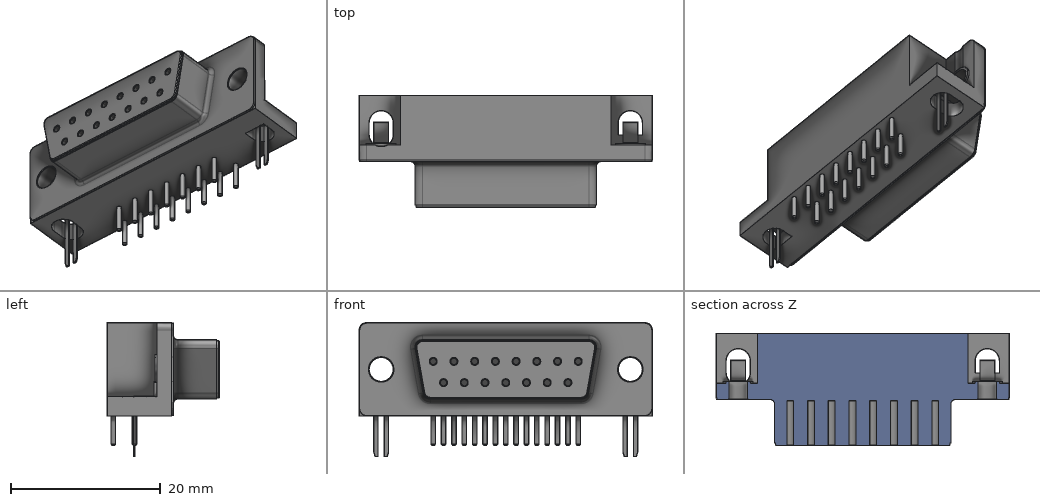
import cadquery as cq
import math


FLANGE_WIDTH = 39.2
FLANGE_HEIGHT = 12.5
FLANGE_DEPTH = 2.2
SHEET_THICKNESS = 0.25
SHEET_INSET = 0.08
FLANGE_CORNER_RADIUS = 1.0
BODY_DEPTH = 8.85
BLOCK_WIDTH = 28.2
BASE_HEIGHT = 2.6
MID_HEIGHT = FLANGE_HEIGHT / 2

MOUNT_X = 16.65
MOUNT_DIAMETER = 3.2
MOUNT_CHAMFER = 0.1

SLOT_REAR_CENTRE_Y = 5.2
SLOT_FRONT_CENTRE_Y = 3.6

SHROUD_LENGTH = 6.15
SHROUD_HEIGHT = 7.94
SHROUD_MID_WIDTH = 23.25
SHROUD_SIDE_ANGLE = 10.0
SHROUD_CORNER_RADIUS = 1.0
SHROUD_ROOT_RADIUS = 0.6

INSERT_PROTRUSION = 0.35
INSERT_INSET = 0.12
INSERT_CHAMFER = 0.12

CONTACT_PITCH = 2.77
ROW_SPACING = 2.84
UPPER_ROW_COUNT = 8
LOWER_ROW_COUNT = 7
CONTACT_MID_Z = 5.9
SOCKET_DIAMETER = 0.85
SOCKET_DEPTH = 6.0
SOCKET_CHAMFER = 0.1

PIN_DIAMETER = 0.64
PIN_LENGTH = 3.9
PIN_TIP_CHAMFER = 0.15
PIN_EMBED = 1.0
REAR_PIN_Y = BODY_DEPTH - 0.83

RING_DIAMETER = 4.0
RING_PROTRUSION = 0.25
RING_EMBED = 0.25
LOCK_WIDTH = 2.0
LOCK_THICKNESS = 0.2
LOCK_BEND_RADIUS = 0.15
LOCK_TAB_REAR_Y = FLANGE_DEPTH + 0.4
LOCK_TAB_TOP_Z = MID_HEIGHT - MOUNT_DIAMETER / 2
LOCK_FOOT_TOP_Z = BASE_HEIGHT + 0.1
LOCK_REAR_Y = 5.3
PRONG_LENGTH = 5.4
PRONG_GAP = 0.8
PRONG_TIP_HEIGHT = 0.6
PRONG_TIP_INSET = 0.18


def box(x_min, x_max, y_min, y_max, z_min, z_max):
    """Axis-aligned box given by its limits."""
    size = (x_max - x_min, y_max - y_min, z_max - z_min)
    return cq.Workplane("XY").box(*size, centered=False).translate((x_min, y_min, z_min))


def cylinder_along_y(x, z, diameter, y_min, y_max):
    """Cylinder along Y between two Y positions."""
    return (
        cq.Workplane("XZ", origin=(x, y_min, z))
        .circle(diameter / 2)
        .extrude(y_min - y_max)
    )


def make_countersink(x, y, z, hole_diameter, chamfer):
    """45 degree cone that chamfers the mouth of a hole in a face looking towards -Y."""
    mouth_radius = hole_diameter / 2 + chamfer
    cone = cq.Solid.makeCone(
        mouth_radius, hole_diameter / 2, chamfer, cq.Vector(x, y, z), cq.Vector(0, 1, 0)
    )
    return cq.Workplane(cone)


def row_positions(count):
    """X positions of a centred row of contacts."""
    return [(i - (count - 1) / 2) * CONTACT_PITCH for i in range(count)]


def make_housing():
    """Front sheet, plastic flange, rear block and low base."""
    half_width = FLANGE_WIDTH / 2
    half_block = BLOCK_WIDTH / 2
    sheet = box(
        SHEET_INSET - half_width, half_width - SHEET_INSET,
        0, SHEET_THICKNESS,
        SHEET_INSET, FLANGE_HEIGHT - SHEET_INSET,
    )
    sheet = sheet.edges("|Y").fillet(FLANGE_CORNER_RADIUS - SHEET_INSET)
    flange = box(-half_width, half_width, SHEET_THICKNESS, FLANGE_DEPTH, 0, FLANGE_HEIGHT)
    flange = flange.edges("|Y and >Z").fillet(FLANGE_CORNER_RADIUS)
    base = box(-half_width, half_width, FLANGE_DEPTH, BODY_DEPTH, 0, BASE_HEIGHT)
    block = box(-half_block, half_block, FLANGE_DEPTH, BODY_DEPTH, 0, FLANGE_HEIGHT)
    return sheet.union(flange).union(base).union(block)


def make_d_prism(inset, length):
    """D-shaped prism from the flange front towards -Y, with its sides moved in by inset."""
    angle = math.radians(SHROUD_SIDE_ANGLE)
    half_height = SHROUD_HEIGHT / 2 - inset
    mid_half = SHROUD_MID_WIDTH / 2 - inset / math.cos(angle)
    lean = half_height * math.tan(angle)
    outline = [
        (-mid_half - lean, half_height),
        (mid_half + lean, half_height),
        (mid_half - lean, -half_height),
        (-mid_half + lean, -half_height),
    ]
    prism = (
        cq.Workplane("XZ", origin=(0, 0, MID_HEIGHT))
        .polyline(outline)
        .close()
        .extrude(length)
    )
    return prism.edges("|Y").fillet(SHROUD_CORNER_RADIUS - inset)


def make_shroud():
    """Shroud and the slightly smaller, chamfered insert that fills it."""
    shell = make_d_prism(0, SHROUD_LENGTH - INSERT_PROTRUSION)
    insert = make_d_prism(INSERT_INSET, SHROUD_LENGTH)
    insert = insert.faces("<Y").edges().chamfer(INSERT_CHAMFER)
    return shell.union(insert)


def round_shroud_root(connector):
    """Concave fillet where the shroud meets the flange."""
    half_width = SHROUD_MID_WIDTH / 2 + SHROUD_CORNER_RADIUS
    half_height = SHROUD_HEIGHT / 2
    margin = 0.1
    root_zone = cq.selectors.BoxSelector(
        (-half_width, -margin, MID_HEIGHT - half_height - margin),
        (half_width, margin, MID_HEIGHT + half_height + margin),
    )
    return connector.edges(root_zone).fillet(SHROUD_ROOT_RADIUS)


def make_slots():
    """Left slot, cut through the full height, and right slot with a flat front end."""
    slots = cq.Workplane("XY")
    for x in (-MOUNT_X, MOUNT_X):
        slots = slots.union(box(
            x - MOUNT_DIAMETER / 2, x + MOUNT_DIAMETER / 2,
            SLOT_FRONT_CENTRE_Y, SLOT_REAR_CENTRE_Y, 0, FLANGE_HEIGHT,
        ))
    round_ends = [
        (-MOUNT_X, SLOT_REAR_CENTRE_Y),
        (MOUNT_X, SLOT_REAR_CENTRE_Y),
        (-MOUNT_X, SLOT_FRONT_CENTRE_Y),
    ]
    ends = (
        cq.Workplane("XY")
        .pushPoints(round_ends)
        .circle(MOUNT_DIAMETER / 2)
        .extrude(FLANGE_HEIGHT)
    )
    return slots.union(ends)


def make_sockets():
    """Blind contact holes in the front face, in two staggered rows."""
    upper_z = CONTACT_MID_Z + ROW_SPACING / 2
    lower_z = CONTACT_MID_Z - ROW_SPACING / 2
    centres = [(x, upper_z) for x in row_positions(UPPER_ROW_COUNT)]
    centres += [(x, lower_z) for x in row_positions(LOWER_ROW_COUNT)]
    sockets = (
        cq.Workplane("XZ", origin=(0, -SHROUD_LENGTH, 0))
        .pushPoints(centres)
        .circle(SOCKET_DIAMETER / 2)
        .extrude(-SOCKET_DEPTH)
    )
    for x, z in centres:
        sockets = sockets.union(make_countersink(x, -SHROUD_LENGTH, z, SOCKET_DIAMETER, SOCKET_CHAMFER))
    return sockets


def make_pins():
    """Solder pins: the longer row at the rear, the shorter one in front of it."""
    front_pin_y = REAR_PIN_Y - ROW_SPACING
    centres = [(x, REAR_PIN_Y) for x in row_positions(UPPER_ROW_COUNT)]
    centres += [(x, front_pin_y) for x in row_positions(LOWER_ROW_COUNT)]
    pins = (
        cq.Workplane("XY", origin=(0, 0, -PIN_LENGTH))
        .pushPoints(centres)
        .circle(PIN_DIAMETER / 2)
        .extrude(PIN_LENGTH + PIN_EMBED)
    )
    return pins.faces("<Z").edges().chamfer(PIN_TIP_CHAMFER)


def make_prong(side):
    """One board lock prong, on the side given by -1 or 1, tapered on its outer edge."""
    inner = side * PRONG_GAP / 2
    outer = side * LOCK_WIDTH / 2
    tip_outer = outer - side * PRONG_TIP_INSET
    outline = [
        (inner, LOCK_FOOT_TOP_Z - LOCK_THICKNESS),
        (outer, LOCK_FOOT_TOP_Z - LOCK_THICKNESS),
        (outer, PRONG_TIP_HEIGHT - PRONG_LENGTH),
        (tip_outer, -PRONG_LENGTH),
        (inner, -PRONG_LENGTH),
    ]
    return (
        cq.Workplane("XZ", origin=(0, LOCK_REAR_Y, 0))
        .polyline(outline)
        .close()
        .extrude(LOCK_THICKNESS)
    )


def make_board_lock():
    """Disc at the mounting hole, tab, foot and two prongs, centred on X = 0.

    The mounting hole is cut later and turns the disc into a ring.
    """
    half_width = LOCK_WIDTH / 2
    foot_bottom_z = LOCK_FOOT_TOP_Z - LOCK_THICKNESS
    ring_front_y = FLANGE_DEPTH - RING_EMBED
    ring_rear_y = FLANGE_DEPTH + RING_PROTRUSION
    ring = cylinder_along_y(0, MID_HEIGHT, RING_DIAMETER, ring_front_y, ring_rear_y)
    tab = box(-half_width, half_width, ring_front_y, LOCK_TAB_REAR_Y, foot_bottom_z, LOCK_TAB_TOP_Z)
    foot = box(-half_width, half_width, FLANGE_DEPTH, LOCK_REAR_Y, foot_bottom_z, LOCK_FOOT_TOP_Z)
    foot = foot.edges(">Y and >Z").fillet(LOCK_BEND_RADIUS)
    lock = ring.union(tab).union(foot)
    for side in (-1, 1):
        lock = lock.union(make_prong(side))
    return lock


connector = round_shroud_root(make_housing().union(make_shroud()))
connector = connector.cut(make_slots()).cut(make_sockets())
connector = connector.union(make_pins())
for mount_x in (-MOUNT_X, MOUNT_X):
    connector = connector.union(make_board_lock().translate((mount_x, 0, 0)))
    connector = connector.cut(cylinder_along_y(mount_x, MID_HEIGHT, MOUNT_DIAMETER, 0, LOCK_TAB_REAR_Y))
    connector = connector.cut(make_countersink(mount_x, 0, MID_HEIGHT, MOUNT_DIAMETER, MOUNT_CHAMFER))
result = connector